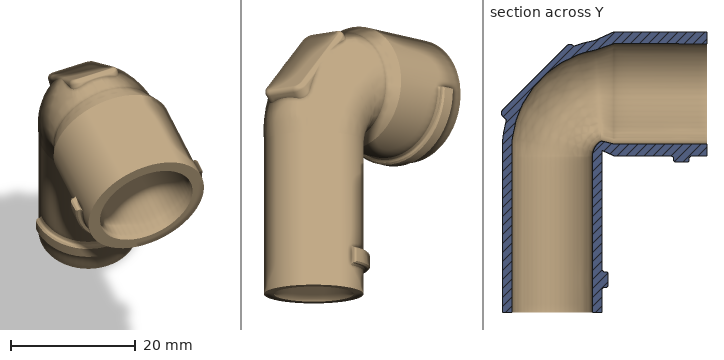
import cadquery as cq
import math

spigot_radius = 16.0 / 2
spigot_length = 25.0
bore_radius = 12.8 / 2
wall = spigot_radius - bore_radius
total_height = 45.1
socket_radius = 20.0 / 2
socket_bore_radius = spigot_radius
socket_axis_z = total_height - socket_radius
socket_start_x = 9.9
socket_end_x = 24.9

cone_slope = 0.455
seam_top_x = 6.9
seam_bottom_x = 8.05

pad_angle = 45
pad_center_x = -2.8
pad_center_z = 37.7
pad_length = 16.05
pad_width = 8.2
pad_depth = 2.25
pad_corner_radius = 1.62
pad_edge_radius = 0.7

rib_height = 1.0
rib_width = 2.55
rib_foot_width = 3.2
rib_bevel = 0.25
rib_overrun = 2.2
spigot_rib_z = 5.3
socket_rib_x = 20.75

cut_size = 90.2


def cone_radius(x):
    return socket_radius - cone_slope * (socket_start_x - x)


seam_top_z = socket_axis_z + cone_radius(seam_top_x)
seam_bottom_z = socket_axis_z - cone_radius(seam_bottom_x)
seam_center_x = (seam_top_x + seam_bottom_x) / 2
seam_center_z = (seam_top_z + seam_bottom_z) / 2
seam_half_length = math.hypot(seam_top_x - seam_bottom_x, seam_top_z - seam_bottom_z) / 2
seam_half_width = math.sqrt(cone_radius(seam_center_x) ** 2 - (seam_center_z - socket_axis_z) ** 2)
seam_angle = math.degrees(math.atan2(seam_top_z - seam_bottom_z, seam_bottom_x - seam_top_x))


def blend(start, end, t):
    return start + (end - start) * t


def elbow_section(t, inset):
    """Ellipse at fraction t of the bend; its plane turns about the inner corner."""
    angle = math.radians(seam_angle * t)
    half_length = blend(spigot_radius, seam_half_length, t)
    half_width = blend(spigot_radius, seam_half_width, t)
    center = cq.Vector(
        blend(spigot_radius, seam_bottom_x, t) - half_length * math.cos(angle),
        0,
        blend(spigot_length, seam_bottom_z, t) + half_length * math.sin(angle),
    )
    normal = cq.Vector(math.sin(angle), 0, math.cos(angle))
    toward_inner_corner = cq.Vector(math.cos(angle), 0, -math.sin(angle))
    return cq.Wire.makeEllipse(
        half_length - inset, half_width - inset, center, normal, toward_inner_corner
    )


def elbow(inset):
    section_count = 5
    sections = [elbow_section(i / (section_count - 1), inset) for i in range(section_count)]
    return cq.Workplane(obj=cq.Solid.makeLoft(sections))


def x_cylinder(radius, start_x, end_x):
    plane = cq.Workplane("YZ", origin=(start_x, 0, socket_axis_z))
    return plane.circle(radius).extrude(end_x - start_x)


def cone():
    small_x = seam_top_x - 0.45
    profile = [
        (small_x, 0),
        (small_x, cone_radius(small_x)),
        (socket_start_x, socket_radius),
        (socket_start_x, 0),
    ]
    body = (
        cq.Workplane("XZ", origin=(0, 0, socket_axis_z))
        .polyline(profile).close()
        .revolve(360, (0, 0), (1, 0))
    )
    tilt = math.radians(seam_angle)
    seam_plane = cq.Plane(
        origin=(seam_center_x, 0, seam_center_z),
        xDir=(0, 1, 0),
        normal=(math.sin(tilt), 0, math.cos(tilt)),
    )
    return body.intersect(cq.Workplane(seam_plane).rect(cut_size, cut_size).extrude(cut_size))


def cone_bore():
    socket_mouth = cq.Wire.makeCircle(
        socket_bore_radius, cq.Vector(socket_start_x, 0, socket_axis_z), cq.Vector(1, 0, 0)
    )
    return cq.Workplane(obj=cq.Solid.makeLoft([elbow_section(1, wall), socket_mouth]))


def pad_plane():
    tilt = math.radians(pad_angle)
    return cq.Plane(
        origin=(pad_center_x, 0, pad_center_z),
        xDir=(0, 1, 0),
        normal=(-math.sin(tilt), 0, math.cos(tilt)),
    )


def pad():
    return (
        cq.Workplane(pad_plane())
        .rect(pad_width, pad_length)
        .extrude(-pad_depth)
        .edges("|(-1,0,1)").fillet(pad_corner_radius)
        .faces(">(-1,0,1)").edges().fillet(pad_edge_radius)
    )


def partial_ring(profile, overrun):
    """Revolve an (r, z) profile around the +X half of Z, plus overrun degrees at each end."""
    sweep = 180 + 2 * overrun
    ring = cq.Workplane("XZ").polyline(profile).close().revolve(sweep, (0, 0), (0, 1))
    return ring.rotate((0, 0, 0), (0, 0, 1), -sweep / 2)


def half_ring_rib(pipe_radius):
    """Rib around the +X half of a Z pipe, flared at its foot and bevelled on top."""
    outer = pipe_radius + rib_height
    root = pipe_radius - wall / 2
    half_width = rib_width / 2
    half_foot = rib_foot_width / 2
    bar_profile = [(root, -half_width), (outer, -half_width), (outer, half_width), (root, half_width)]
    foot_profile = [
        (root, -half_foot),
        (pipe_radius, -half_foot),
        (pipe_radius + rib_bevel, -half_width),
        (pipe_radius + rib_bevel, half_width),
        (pipe_radius, half_foot),
        (root, half_foot),
    ]
    outer_face = cq.selectors.AreaNthSelector(-1)
    bar = partial_ring(bar_profile, rib_overrun).faces(outer_face).edges().chamfer(rib_bevel)
    return bar.union(partial_ring(foot_profile, rib_overrun))


spigot = cq.Workplane("XY").circle(spigot_radius).extrude(spigot_length)
spigot_bore = cq.Workplane("XY").circle(bore_radius).extrude(spigot_length)
socket = x_cylinder(socket_radius, socket_start_x, socket_end_x)
socket_bore = x_cylinder(socket_bore_radius, socket_start_x, socket_end_x)

above_pad = cq.Workplane(pad_plane()).rect(cut_size, cut_size).extrude(cut_size)
flattened_elbow = elbow(0).cut(above_pad)

spigot_rib = half_ring_rib(spigot_radius).translate((0, 0, spigot_rib_z))
socket_rib = (
    half_ring_rib(socket_radius)
    .rotate((0, 0, 0), (0, 1, 0), 90)
    .translate((socket_rib_x, 0, socket_axis_z))
)

outside = spigot.union(flattened_elbow).union(cone()).union(socket)
outside = outside.union(pad()).union(spigot_rib).union(socket_rib)
result = outside.cut(spigot_bore).cut(elbow(wall)).cut(cone_bore()).cut(socket_bore)